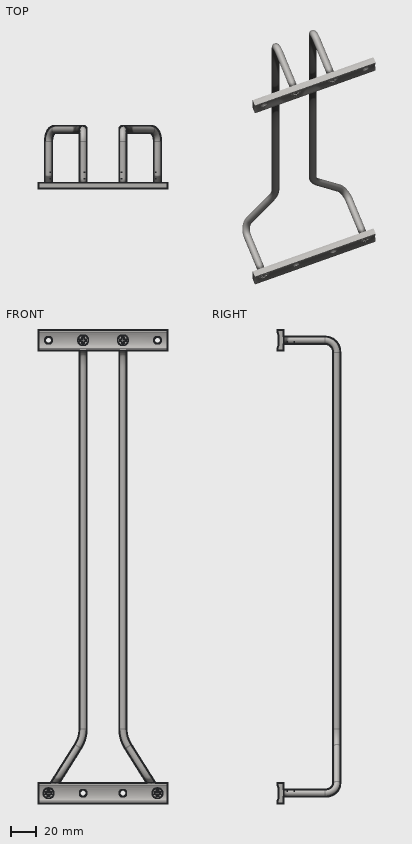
import cadquery as cq
import math

TOTAL_HEIGHT = 366.0
TOTAL_DEPTH = 48.5

RAIL_LENGTH = 100.0
RAIL_HEIGHT = 16.0
RAIL_DEPTH = 4.8
RAIL_LIP = 2.0
CHANNEL_DEPTH = 1.0
RAIL_HOLE_DIAMETER = 5.0
ROD_SOCKET_DEPTH = 2.2

ROD_DIAMETER = 6.0
UPPER_ROD_X = 15.5
LOWER_ROD_X = 42.0
END_BEND_RADIUS = 9.0
SPREAD_CORNER_Z = -132.5
SPREAD_BEND_RADIUS = 25.5
ROD_BORE_DEPTH = 10.2

HEAD_DIAMETER = 8.0
HEAD_HEIGHT = 1.0
HEAD_FRONT_Y = 0.7
SHANK_DIAMETER = 4.0
SCREW_DEPTH_IN_ROD = 5.0
CROSS_LENGTH = 4.8
CROSS_WIDTH = 1.5
CROSS_DEPTH = 0.7

RAIL_Z = (TOTAL_HEIGHT - RAIL_HEIGHT) / 2
ROD_Y = TOTAL_DEPTH - ROD_DIAMETER / 2
ROD_END_Y = RAIL_DEPTH - ROD_SOCKET_DEPTH
ROD_BORE_END_Y = ROD_END_Y + ROD_BORE_DEPTH
HEAD_SEAT_Y = HEAD_FRONT_Y + HEAD_HEIGHT
SHANK_END_Y = ROD_END_Y + SCREW_DEPTH_IN_ROD


def cylinder_along_y(diameter, x, z, y_start, y_end):
    """Round bar parallel to Y between two depths."""
    base_center = cq.Vector(x, y_start, z)
    along_y = cq.Vector(0, 1, 0)
    return cq.Workplane(cq.Solid.makeCylinder(diameter / 2, y_end - y_start, base_center, along_y))


def make_screw(x, z):
    """Cross-recessed screw whose round head sits in the rail front."""
    head = cylinder_along_y(HEAD_DIAMETER, x, z, HEAD_FRONT_Y, HEAD_SEAT_Y)
    shank = cylinder_along_y(SHANK_DIAMETER, x, z, HEAD_SEAT_Y, SHANK_END_Y)
    screw = head.union(shank)
    cross_y = HEAD_FRONT_Y + CROSS_DEPTH / 2
    for size_x, size_z in ((CROSS_LENGTH, CROSS_WIDTH), (CROSS_WIDTH, CROSS_LENGTH)):
        screw = screw.cut(cq.Workplane().box(size_x, CROSS_DEPTH, size_z).translate((x, cross_y, z)))
    return screw


def rail_blank(z):
    """Straight rail with a shallow concave channel along its front."""
    half_height = RAIL_HEIGHT / 2
    channel_edge = half_height - RAIL_LIP
    return (
        cq.Workplane("YZ", origin=(-RAIL_LENGTH / 2, 0, z))
        .moveTo(0, -half_height)
        .lineTo(RAIL_DEPTH, -half_height)
        .lineTo(RAIL_DEPTH, half_height)
        .lineTo(0, half_height)
        .lineTo(0, channel_edge)
        .threePointArc((CHANNEL_DEPTH, 0), (0, -channel_edge))
        .close()
        .extrude(RAIL_LENGTH)
    )


def make_rail(z, screw_x):
    """Rail with four through holes and rear rod sockets; the two holes at screw_x seat screw heads."""
    rail = rail_blank(z)
    for side in (-1, 1):
        for hole_x in (UPPER_ROD_X, LOWER_ROD_X):
            rail = rail.cut(cylinder_along_y(RAIL_HOLE_DIAMETER, side * hole_x, z, 0, RAIL_DEPTH))
            rail = rail.cut(cylinder_along_y(ROD_DIAMETER, side * hole_x, z, ROD_END_Y, RAIL_DEPTH))
        rail = rail.cut(cylinder_along_y(HEAD_DIAMETER, side * screw_x, z, 0, HEAD_SEAT_Y))
    return rail


def bend(corner, before, after, radius):
    """Start, middle and end points of an arc that rounds a corner between two unit directions."""
    turn = before.getAngle(after)
    tangent_length = radius * math.tan(turn / 2)
    start = corner - before * tangent_length
    end = corner + after * tangent_length
    inward = (after - before).normalized()
    middle = corner + inward * (radius / math.cos(turn / 2) - radius)
    return start, middle, end


def make_rod(side):
    """Rod that leaves the upper rail, drops, spreads outward and returns to the lower rail."""
    upper_start = cq.Vector(side * UPPER_ROD_X, ROD_END_Y, RAIL_Z)
    upper_corner = cq.Vector(side * UPPER_ROD_X, ROD_Y, RAIL_Z)
    spread_corner = cq.Vector(side * UPPER_ROD_X, ROD_Y, SPREAD_CORNER_Z)
    lower_corner = cq.Vector(side * LOWER_ROD_X, ROD_Y, -RAIL_Z)
    lower_end = cq.Vector(side * LOWER_ROD_X, ROD_END_Y, -RAIL_Z)

    backward = cq.Vector(0, 1, 0)
    downward = cq.Vector(0, 0, -1)
    outward = (lower_corner - spread_corner).normalized()
    bends = (
        bend(upper_corner, backward, downward, END_BEND_RADIUS),
        bend(spread_corner, downward, outward, SPREAD_BEND_RADIUS),
        bend(lower_corner, outward, -backward, END_BEND_RADIUS),
    )

    edges = []
    position = upper_start
    for start, middle, end in bends:
        edges.append(cq.Edge.makeLine(position, start))
        edges.append(cq.Edge.makeThreePointArc(start, middle, end))
        position = end
    edges.append(cq.Edge.makeLine(position, lower_end))
    path = cq.Workplane(cq.Wire.assembleEdges(edges))

    rod = cq.Workplane("XZ", origin=upper_start.toTuple()).circle(ROD_DIAMETER / 2).sweep(path)
    for x, z in ((UPPER_ROD_X, RAIL_Z), (LOWER_ROD_X, -RAIL_Z)):
        rod = rod.cut(cylinder_along_y(SHANK_DIAMETER, side * x, z, ROD_END_Y, ROD_BORE_END_Y))
    return rod


upper_rail = make_rail(RAIL_Z, UPPER_ROD_X)
lower_rail = make_rail(-RAIL_Z, LOWER_ROD_X)

rods = []
screws = []
for side in (-1, 1):
    rods.append(make_rod(side))
    screws.append(make_screw(side * UPPER_ROD_X, RAIL_Z))
    screws.append(make_screw(side * LOWER_ROD_X, -RAIL_Z))

bodies = [upper_rail, lower_rail, *rods, *screws]
result = cq.Compound.makeCompound([body.val() for body in bodies])